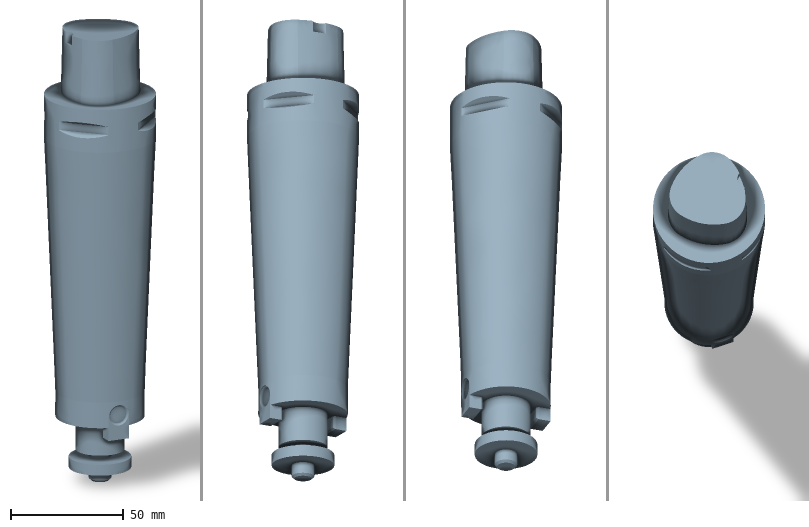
import cadquery as cq
import math

total_height = 210.0
bolt_chamfer = 1.0
washer_bottom = 6.0
washer_top = 11.1
spigot_bottom = 14.5
key_bottom = 24.0
collar_bottom = 30.0
collar_top = 42.0
flange_bottom = 160.0
flange_top = 180.0

bolt_diameter = 10.0
washer_diameter = 28.0
spigot_diameter = 22.0
collar_diameter = 40.0
flange_diameter = 50.0

lobe_reach = 18.7
flat_reach = 16.4
lobe_radius = 11.8
shank_taper = math.degrees(math.atan(1 / 40))

notch_diameter = 7.8
notch_depth = 5.0
notch_floor_distance = 13.6

groove_height = 170.0
groove_floor_distance = 22.0
groove_floor_width = 3.8
groove_wall_angle = 30.0
groove_count = 4

key_width = bolt_diameter
key_inner = 12.8
key_outer = 19.3
key_chamfer = 0.8
key_center_height = 35.3
screw_diameter = 7.8
screw_rim_diameter = 9.5


def polar(radius, angle):
    return radius * math.cos(math.radians(angle)), radius * math.sin(math.radians(angle))


def turned_body():
    bolt_radius = bolt_diameter / 2
    washer_radius = washer_diameter / 2
    spigot_radius = spigot_diameter / 2
    collar_radius = collar_diameter / 2
    flange_radius = flange_diameter / 2
    profile = [
        (0, 0),
        (bolt_radius - bolt_chamfer, 0),
        (bolt_radius, bolt_chamfer),
        (bolt_radius, washer_bottom),
        (washer_radius, washer_bottom),
        (washer_radius, washer_top),
        (bolt_radius, washer_top),
        (bolt_radius, spigot_bottom),
        (spigot_radius, spigot_bottom),
        (spigot_radius, collar_bottom),
        (collar_radius, collar_bottom),
        (collar_radius, collar_top),
        (flange_radius, flange_bottom),
        (flange_radius, flange_top),
        (0, flange_top),
    ]
    return cq.Workplane("XZ").polyline(profile).close().revolve(360, (0, 0), (0, 1))


def shank():
    lobe_offset = lobe_reach - lobe_radius
    across = lobe_offset * math.sin(math.radians(60))
    along = flat_reach - lobe_offset * math.cos(math.radians(60))
    flat_radius = (across**2 + along**2 - lobe_radius**2) / (2 * (along - lobe_radius))

    flat_half_angle = math.asin(across / (flat_radius - lobe_radius))
    join_x = flat_radius * math.sin(flat_half_angle)
    join_y = flat_radius - flat_reach - flat_radius * math.cos(flat_half_angle)
    join_distance = math.hypot(join_x, join_y)
    join_angle = math.degrees(math.atan2(join_x, -join_y))

    outline = cq.Workplane("XY").workplane(offset=flange_top)
    outline = outline.moveTo(*polar(join_distance, -90 - join_angle))
    for flat_angle in (-90, 30, 150):
        lobe_angle = flat_angle + 60
        next_flat_angle = flat_angle + 120
        outline = outline.threePointArc(
            polar(flat_reach, flat_angle), polar(join_distance, flat_angle + join_angle)
        )
        outline = outline.threePointArc(
            polar(lobe_reach, lobe_angle), polar(join_distance, next_flat_angle - join_angle)
        )
    body = outline.close().extrude(total_height - flange_top, taper=shank_taper)

    notch = (
        cq.Workplane("XY")
        .workplane(offset=total_height - notch_depth)
        .center(0, -notch_floor_distance - notch_diameter / 2)
        .circle(notch_diameter / 2)
        .extrude(notch_depth)
    )
    return body.cut(notch)


def gripper_groove(angle):
    outer = flange_diameter / 2 + 2
    floor_half = groove_floor_width / 2
    mouth_half = floor_half + (outer - groove_floor_distance) * math.tan(math.radians(groove_wall_angle))
    profile = [
        (groove_floor_distance, groove_height - floor_half),
        (outer, groove_height - mouth_half),
        (outer, groove_height + mouth_half),
        (groove_floor_distance, groove_height + floor_half),
    ]
    groove = cq.Workplane("XZ").polyline(profile).close().extrude(flange_diameter / 2, both=True)
    return groove.rotate((0, 0, 0), (0, 0, 1), angle)


def key_blank(inner, outer):
    half_width = key_width / 2
    return (
        cq.Workplane("YZ")
        .workplane(offset=inner)
        .moveTo(-half_width, key_bottom)
        .lineTo(half_width, key_bottom)
        .lineTo(half_width, key_center_height)
        .threePointArc((0, key_center_height + half_width), (-half_width, key_center_height))
        .close()
        .extrude(outer - inner)
    )


def drive_key():
    key = key_blank(key_inner, key_outer).faces("<X").chamfer(key_chamfer)
    rim_radius = screw_rim_diameter / 2
    seat_depth = (screw_rim_diameter - screw_diameter) / 2
    seat = cq.Solid.makeCone(
        rim_radius,
        screw_diameter / 2,
        seat_depth,
        pnt=cq.Vector(key_outer, 0, key_center_height),
        dir=cq.Vector(-1, 0, 0),
    )
    pocket = key_blank(key_outer, collar_diameter)
    return key, pocket, cq.Workplane(seat)


result = turned_body().union(shank())

for index in range(groove_count):
    result = result.cut(gripper_groove(45 + index * 360 / groove_count))

key, pocket, seat = drive_key()
for angle in (0, 180):
    key_turn = ((0, 0, 0), (0, 0, 1), angle)
    result = result.union(key.rotate(*key_turn))
    result = result.cut(pocket.rotate(*key_turn))
    result = result.cut(seat.rotate(*key_turn))